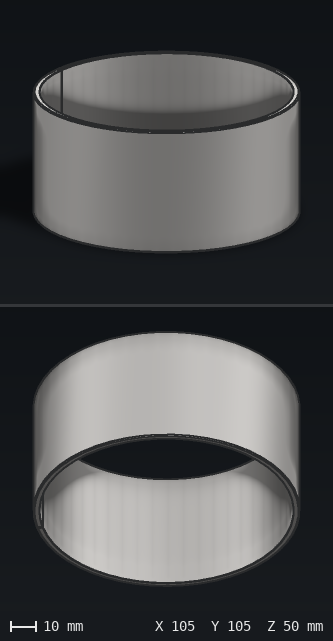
import cadquery as cq

outer_diameter = 105.0
wall_thickness = 2.5
length = 50.0
outer_chamfer = 0.5
inner_chamfer = 0.2
slit_angle = 1.0

outer_radius = outer_diameter / 2
inner_radius = outer_radius - wall_thickness
half_length = length / 2


def wall_section():
    """Wall section on the -X side, with both rims chamfered inside and out."""
    return (
        cq.Workplane("XZ")
        .moveTo(-inner_radius, -half_length + inner_chamfer)
        .lineTo(-inner_radius - inner_chamfer, -half_length)
        .lineTo(-outer_radius + outer_chamfer, -half_length)
        .lineTo(-outer_radius, -half_length + outer_chamfer)
        .lineTo(-outer_radius, half_length - outer_chamfer)
        .lineTo(-outer_radius + outer_chamfer, half_length)
        .lineTo(-inner_radius - inner_chamfer, half_length)
        .lineTo(-inner_radius, half_length - inner_chamfer)
        .close()
    )


def split_sleeve():
    """Revolve the wall about Z, stopping short of a full turn to leave the slit."""
    axis_start = (0, 0)
    axis_end = (0, 1)
    return wall_section().revolve(360 - slit_angle, axis_start, axis_end)


result = split_sleeve()